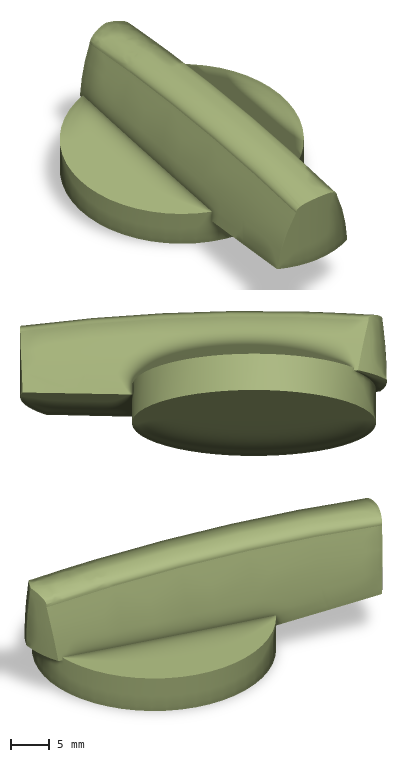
import cadquery as cq
import math

disc_radius = 15.8
disc_height = 4.9

handle_length = 48.8
nose_x = -17.8
tail_x = nose_x + handle_length

crest_x = 18.05
crest_z = 15.45
crest_radius = 248.9
outline_top_z = 17.1
sweep_half_angle = 10.0

shoulder_half_width = 3.2
shoulder_depth = 1.45
foot_half_width = 5.65
foot_depth = 13.2

lip_z = 4.5
tail_root_z = 2.0
tail_tip_z = 5.0

tail_face_radius = 11.3
nose_face_radius = 12.7
nose_face_offset = 2.35
nose_taper_radius = 61.0
nose_axis_x = nose_x + math.sqrt(nose_face_radius**2 - nose_face_offset**2)


def make_disc():
    return cq.Workplane("XY").circle(disc_radius).extrude(disc_height)


def make_swept_bar():
    """Domed cross-section turned about a distant axis parallel to Y."""
    flank_drop = foot_depth - shoulder_depth
    flank_spread = foot_half_width - shoulder_half_width
    flank_radius = (flank_drop**2 + flank_spread**2) / (2 * flank_spread)
    mid_half_width = foot_half_width - flank_radius + math.sqrt(flank_radius**2 - (flank_drop / 2) ** 2)
    mid_z = crest_radius - (shoulder_depth + foot_depth) / 2

    shoulder_z = crest_radius - shoulder_depth
    foot_z = crest_radius - foot_depth
    control_z = shoulder_z + shoulder_depth * 4 / 3
    dome_points = [
        (-shoulder_half_width, shoulder_z),
        (-shoulder_half_width, control_z),
        (shoulder_half_width, control_z),
        (shoulder_half_width, shoulder_z),
    ]

    bar = (
        cq.Workplane("YZ", origin=(crest_x, 0, crest_z - crest_radius))
        .moveTo(-foot_half_width, foot_z)
        .threePointArc((-mid_half_width, mid_z), (-shoulder_half_width, shoulder_z))
        .bezier(dome_points)
        .threePointArc((mid_half_width, mid_z), (foot_half_width, foot_z))
        .close()
        .revolve(2 * sweep_half_angle, (0, 0), (1, 0))
    )
    axis_start = (crest_x, 0, crest_z - crest_radius)
    axis_end = (crest_x, 1, crest_z - crest_radius)
    return bar.rotate(axis_start, axis_end, -sweep_half_angle)


def make_underside_outline():
    """Side outline, open to the crest, that cuts the bar off below."""
    return (
        cq.Workplane("XZ")
        .moveTo(nose_x, lip_z)
        .lineTo(0, lip_z)
        .lineTo(0, tail_root_z)
        .lineTo(tail_x, tail_tip_z)
        .lineTo(tail_x, outline_top_z)
        .lineTo(nose_x, outline_top_z)
        .close()
        .extrude(foot_half_width, both=True)
    )


def make_tail_outline():
    """Upright block with the tail end rounded in plan."""
    round_sag = tail_face_radius - math.sqrt(tail_face_radius**2 - foot_half_width**2)
    corner_x = tail_x - round_sag
    return (
        cq.Workplane("XY")
        .moveTo(nose_axis_x, -foot_half_width)
        .lineTo(corner_x, -foot_half_width)
        .threePointArc((tail_x, 0), (corner_x, foot_half_width))
        .lineTo(nose_axis_x, foot_half_width)
        .close()
        .extrude(outline_top_z)
    )


def nose_radius_at(height):
    """Radius of a nose face at a height above the lip."""
    return nose_face_radius - nose_taper_radius + math.sqrt(nose_taper_radius**2 - height**2)


def make_nose_outline():
    """Two leaning round faces that meet in a ridge on the centre plane."""
    height = outline_top_z - lip_z
    top_radius = nose_radius_at(height)
    mid_radius = nose_radius_at(height / 2)
    faces = None
    for side in (-1, 1):
        face = (
            cq.Workplane("XZ", origin=(nose_axis_x, side * nose_face_offset, lip_z))
            .lineTo(nose_face_radius, 0)
            .threePointArc((mid_radius, height / 2), (top_radius, height))
            .lineTo(0, height)
            .close()
            .revolve(360, (0, 0), (0, 1))
        )
        faces = face if faces is None else faces.intersect(face)
    nose_side = cq.Workplane("XY").box(
        nose_face_radius, 2 * foot_half_width, outline_top_z, centered=(False, True, False)
    )
    return faces.intersect(nose_side.translate((nose_axis_x - nose_face_radius, 0, 0)))


def make_handle():
    outline = make_tail_outline().union(make_nose_outline())
    handle = make_swept_bar().intersect(make_underside_outline()).intersect(outline)
    return handle.cut(make_disc())


disc = make_disc()
handle = make_handle()
result = cq.Compound.makeCompound([disc.val(), *handle.solids().vals()])